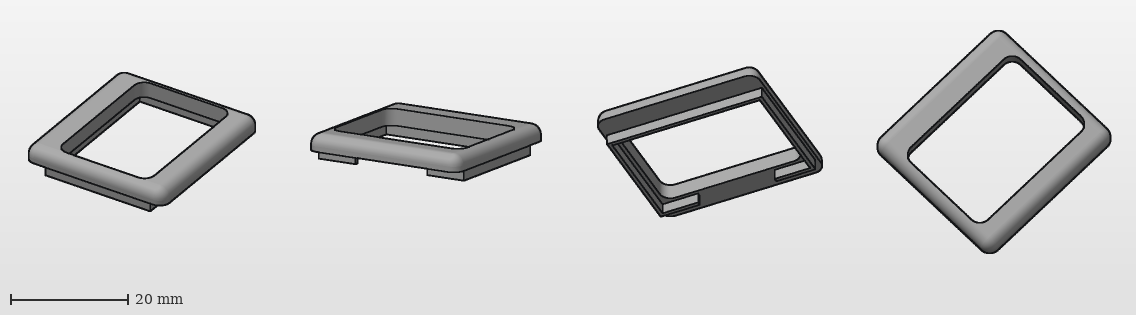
import cadquery as cq

plate_width = 28.27
plate_length = 30.4
plate_thickness = 2.98
edge_radius = 2.0

opening_offset_x = 0.5

window_width = 18.55
window_length = plate_length - 2 * edge_radius
window_corner_radius = edge_radius

rim_width = 21.28
rim_length = 29.25
rim_depth = 2.0
rim_wall = 0.7
rim_gap = 14.47


def make_plate():
    """Plate with rounded upright corners and a rounded top edge."""
    plate = cq.Workplane("XY").rect(plate_width, plate_length).extrude(plate_thickness)
    plate = plate.edges("|Z").fillet(edge_radius)
    return plate.faces(">Z").edges().fillet(edge_radius)


def make_window():
    """Rounded opening through the plate."""
    window = (
        cq.Workplane("XY")
        .center(opening_offset_x, 0)
        .rect(window_width, window_length)
        .extrude(plate_thickness)
    )
    return window.edges("|Z").fillet(window_corner_radius)


def make_rim():
    """Thin rectangular rim, interrupted in the middle of its +X side."""
    rim = (
        cq.Workplane("XY")
        .center(opening_offset_x, 0)
        .rect(rim_width, rim_length)
        .rect(rim_width - 2 * rim_wall, rim_length - 2 * rim_wall)
        .extrude(-rim_depth)
    )
    gap_center_x = opening_offset_x + (rim_width - rim_wall) / 2
    gap = cq.Workplane("XY").center(gap_center_x, 0).rect(rim_wall, rim_gap).extrude(-rim_depth)
    return rim.cut(gap)


result = make_plate().cut(make_window()).union(make_rim())